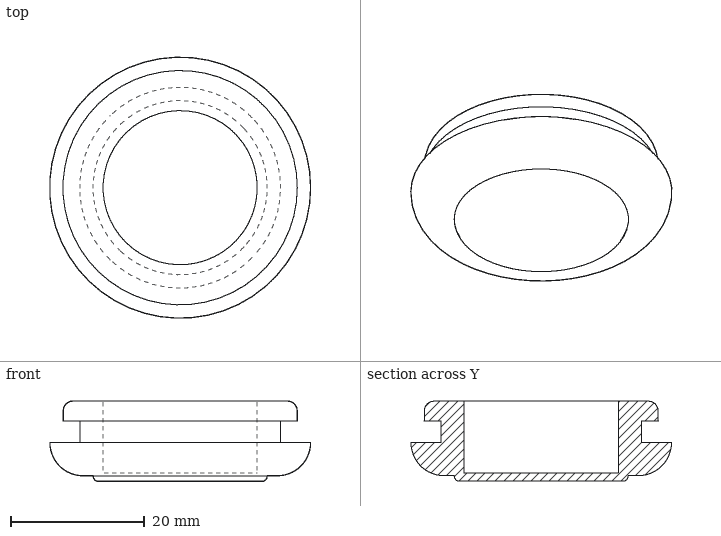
import cadquery as cq

base_diameter = 39.0
neck_diameter = 30.0
lip_diameter = 35.0
pad_diameter = 26.0
bore_diameter = 23.0

total_height = 12.0
pad_height = 0.8
base_height = 5.0
lip_height = 3.0
floor_thickness = 1.3

lip_round = 1.5
pad_round = 0.78

base_top = pad_height + base_height
lip_bottom = total_height - lip_height


def disc(diameter, bottom, top):
    """Solid cylinder about Z between two levels."""
    return cq.Workplane("XY").workplane(offset=bottom).circle(diameter / 2).extrude(top - bottom)


def rounded_base():
    """Wide flange whose whole side is a quarter-circle arc, revolved about Z."""
    outer_radius = base_diameter / 2
    flat_radius = outer_radius - base_height
    arc_offset = base_height * 0.5**0.5
    return (
        cq.Workplane("XZ")
        .moveTo(0, pad_height)
        .lineTo(flat_radius, pad_height)
        .threePointArc(
            (flat_radius + arc_offset, base_top - arc_offset),
            (outer_radius, base_top),
        )
        .lineTo(0, base_top)
        .close()
        .revolve(360, (0, 0, 0), (0, 1, 0))
    )


pad = disc(pad_diameter, 0, pad_height).faces("<Z").edges().fillet(pad_round)

neck = disc(neck_diameter, base_top, lip_bottom)

lip = disc(lip_diameter, lip_bottom, total_height).faces(">Z").edges().fillet(lip_round)

bore = disc(bore_diameter, floor_thickness, total_height)

result = rounded_base().union(pad).union(neck).union(lip).cut(bore)